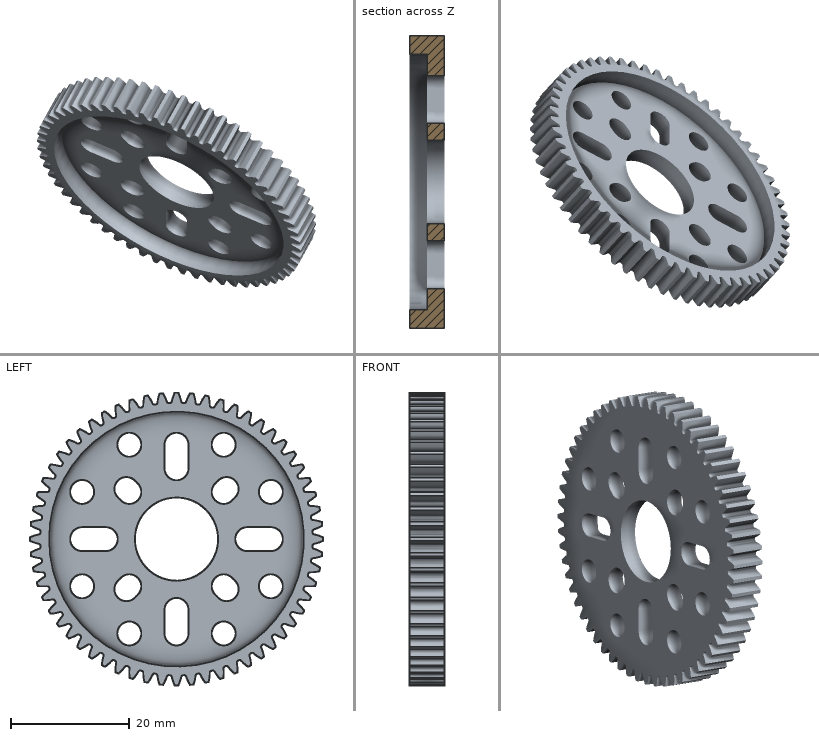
import cadquery as cq
import math

tooth_count = 60
tip_radius = 24.8
face_width = 6.0
pressure_angle = math.radians(20)
dedendum_factor = 1.157
root_fillet = 0.3
flank_points = 6

recess_diameter = 43.15
web_thickness = face_width / 2
bore_diameter = 14.05
hole_diameter = 4.0
hole_pitch = 8.0
straight_slot_travel = hole_pitch / 2
diagonal_slot_travel = 0.7

module = 2 * tip_radius / (tooth_count + 2)
pitch_radius = module * tooth_count / 2
root_radius = pitch_radius - dedendum_factor * module
base_radius = pitch_radius * math.cos(pressure_angle)
tooth_step = 2 * math.pi / tooth_count


def polar(radius, angle):
    return (radius * math.cos(angle), radius * math.sin(angle))


def involute(angle):
    return math.tan(angle) - angle


def half_tooth_angle(radius):
    """Angle from a tooth's centre line to its involute flank at a radius."""
    flank_angle = math.acos(base_radius / radius)
    return tooth_step / 4 + involute(pressure_angle) - involute(flank_angle)


def make_toothed_disc():
    """Extrude the full tooth outline and round the corners at the tooth roots."""
    radius_step = (tip_radius - root_radius) / (flank_points - 1)
    flank_radii = [root_radius + radius_step * i for i in range(flank_points)]
    root_half_angle = half_tooth_angle(root_radius)

    outline = cq.Workplane("YZ").moveTo(*polar(root_radius, -root_half_angle))
    for tooth in range(tooth_count):
        centre = tooth * tooth_step
        next_centre = (tooth + 1) % tooth_count * tooth_step
        rising = [polar(r, centre - half_tooth_angle(r)) for r in flank_radii]
        falling = [polar(r, centre + half_tooth_angle(r)) for r in reversed(flank_radii)]
        outline = (
            outline.spline(rising[1:], includeCurrent=True)
            .threePointArc(polar(tip_radius, centre), falling[0])
            .spline(falling[1:], includeCurrent=True)
            .threePointArc(
                polar(root_radius, centre + tooth_step / 2),
                polar(root_radius, next_centre - root_half_angle),
            )
        )
    disc = outline.close().extrude(face_width)

    root_edges = []
    for edge in disc.edges("|X").vals():
        middle = edge.Center()
        if math.hypot(middle.y, middle.z) < pitch_radius:
            root_edges.append(edge)
    return disc.newObject(root_edges).fillet(root_fillet)


def make_round_cutter(diameter, depth, points=((0, 0),)):
    """Cylinders running from the -X face to the given depth."""
    return cq.Workplane("YZ").pushPoints(points).circle(diameter / 2).extrude(depth)


def make_slot_cutter(inner_radius, travel, angle):
    """Radial slot whose inner end is centred at inner_radius; angle in degrees."""
    return (
        cq.Workplane("YZ")
        .center(*polar(inner_radius + travel / 2, math.radians(angle)))
        .slot2D(travel + hole_diameter, hole_diameter, angle)
        .extrude(face_width)
    )


gear = make_toothed_disc()

gear = gear.cut(make_round_cutter(recess_diameter, face_width - web_thickness))
gear = gear.cut(make_round_cutter(bore_diameter, face_width))

hole_points = []
for y_side in (-1, 1):
    for z_side in (-1, 1):
        hole_points.append((y_side * hole_pitch, z_side * 2 * hole_pitch))
        hole_points.append((y_side * 2 * hole_pitch, z_side * hole_pitch))
gear = gear.cut(make_round_cutter(hole_diameter, face_width, hole_points))

straight_inner_radius = 2 * hole_pitch - straight_slot_travel
diagonal_inner_radius = math.sqrt(2) * hole_pitch
for axis_angle in (0, 90, 180, 270):
    gear = gear.cut(make_slot_cutter(straight_inner_radius, straight_slot_travel, axis_angle))
    gear = gear.cut(make_slot_cutter(diagonal_inner_radius, diagonal_slot_travel, axis_angle + 45))

result = gear